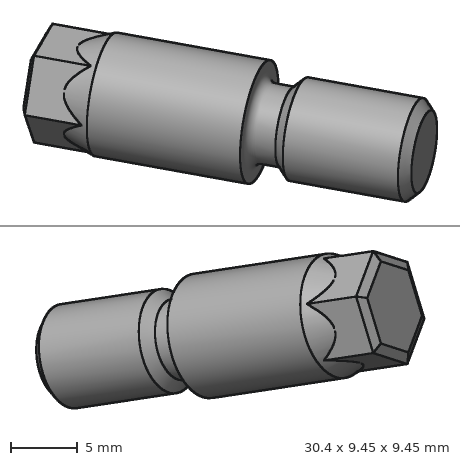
import cadquery as cq
import math

total_length = 30.43
body_radius = 9.45 / 2
neck_radius = 6.17 / 2
stem_radius = 7.92 / 2

body_start = 5.35
body_end = 17.43
neck_end = 19.68

hex_across_flats = 7.85
tip_across_flats = 6.32
tip_chamfer_length = 0.4

runout_length = 2.4
runout_start_radius = 3.87
runout_sag = 0.03

neck_fillet = 0.7
stem_end_chamfer = 0.8


def across_corners(across_flats):
    """Corner-to-corner size of a hexagon."""
    return across_flats / math.cos(math.pi / 6)


def make_hex_tip():
    """Hexagonal prism with bevelled edges around its end face, corners on the Y axis."""
    bevel = (
        cq.Workplane("YZ")
        .polygon(6, across_corners(tip_across_flats))
        .workplane(offset=tip_chamfer_length)
        .polygon(6, across_corners(hex_across_flats))
        .loft(ruled=True)
    )
    prism_length = body_start - tip_chamfer_length
    return bevel.faces(">X").wires().toPending().workplane().extrude(prism_length)


def make_round_body():
    """Run-out, body, neck and stem as one revolved profile."""
    runout_start = body_start - runout_length
    runout_middle = (
        body_start - runout_length / 2,
        (runout_start_radius + body_radius) / 2 - runout_sag,
    )
    fillet_rise = neck_fillet * math.sqrt(0.5)
    fillet_middle = (
        body_end + neck_fillet - fillet_rise,
        neck_radius + neck_fillet - fillet_rise,
    )
    stem_start = neck_end + stem_radius - neck_radius
    profile = (
        cq.Workplane("XY")
        .moveTo(runout_start, 0)
        .lineTo(runout_start, runout_start_radius)
        .threePointArc(runout_middle, (body_start, body_radius))
        .lineTo(body_end, body_radius)
        .lineTo(body_end, neck_radius + neck_fillet)
        .threePointArc(fillet_middle, (body_end + neck_fillet, neck_radius))
        .lineTo(neck_end, neck_radius)
        .lineTo(stem_start, stem_radius)
        .lineTo(total_length - stem_end_chamfer, stem_radius)
        .lineTo(total_length, stem_radius - stem_end_chamfer)
        .lineTo(total_length, 0)
        .close()
    )
    return profile.revolve(360, (0, 0, 0), (1, 0, 0))


result = make_round_body().union(make_hex_tip())